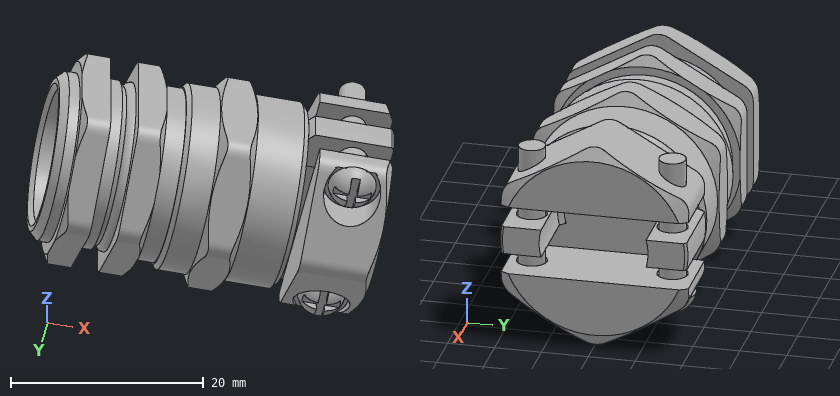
import cadquery as cq
import math


across_flats = 20.0
corner_radius = 2.0
hex_cone_angle = 30
nut_face_radius = 10.17
body_face_radius = 10.1
dome_face_radius = 9.85

overall_length = 35.2
thread_radius = 8.95
thread_lead_in = 0.85
groove_depth = 0.55
shoulder_radius = 1.0
body_hex_start = 7.95
body_hex_end = 11.0
neck_radius = 18.4 / 2
neck_end = 13.2
dome_radius = 19.7 / 2
dome_lead_in = 0.5
dome_hex_start = 16.72
dome_hex_end = 20.75
dome_end = 26.22
dome_end_chamfer = 0.55

bore_radius = 14.0 / 2
bore_chamfer = 0.53
bore_depth = 6.5

nut_start = 1.97
nut_end = 5.05

lug_thickness = 3.05
lug_outer_radius = across_flats / 2
lug_inner_radius = 5.8
lug_root_outer_radius = 9.33
lug_root_inner_radius = 10.5 / 2
lug_root_length = 0.55
lug_end_chamfer = 0.28

jaw_start = 27.25
jaw_gap = 7.55
screw_x = (jaw_start + overall_length) / 2
screw_spacing = 15.0
screw_radius = 2.85 / 2
clearance_radius = 3.2 / 2
screw_top = 9.3
head_radius = 5.0 / 2
head_height = 2.2
head_seat_z = -5.77
counterbore_radius = 2.95
drive_slot_width = 0.88
drive_slot_depth = 1.0

oversize = 2 * overall_length


def revolve_profile(points):
    """Turn a closed outline of (x, radius) points about the X axis."""
    return cq.Workplane("XY").polyline(points).close().revolve(360, (0, 0), (1, 0))


def hexagon(start, end, start_face_radius=None, end_face_radius=None):
    """Hexagonal prism with rounded corners, its ends turned conical where a face radius is given."""
    corner_distance = across_flats / math.sqrt(3)
    prism = (
        cq.Workplane("YZ", origin=(start, 0, 0))
        .transformed(rotate=(0, 0, 90))
        .polygon(6, 2 * corner_distance)
        .extrude(end - start)
        .edges("|X")
        .fillet(corner_radius)
    )

    def cone_length(face_radius):
        if face_radius is None:
            return 0
        return (corner_distance - face_radius) * math.tan(math.radians(hex_cone_angle))

    envelope = [(start, 0), (start, start_face_radius or corner_distance)]
    if start_face_radius:
        envelope.append((start + cone_length(start_face_radius), corner_distance))
    if end_face_radius:
        envelope.append((end - cone_length(end_face_radius), corner_distance))
    envelope += [(end, end_face_radius or corner_distance), (end, 0)]
    return prism.intersect(revolve_profile(envelope))


def turned_body():
    """Thread, sealing groove with its rounded shoulder, neck and dome in one turned outline."""
    groove_radius = thread_radius - groove_depth
    shoulder_angle = math.acos(1 - groove_depth / shoulder_radius)
    groove_x = body_hex_start - shoulder_radius * math.sin(shoulder_angle)
    shoulder_middle = (
        body_hex_start - shoulder_radius * math.sin(shoulder_angle / 2),
        thread_radius - shoulder_radius * (1 - math.cos(shoulder_angle / 2)),
    )
    return (
        cq.Workplane("XY")
        .moveTo(0, 0)
        .lineTo(0, thread_radius - thread_lead_in)
        .lineTo(thread_lead_in, thread_radius)
        .lineTo(groove_x - groove_depth, thread_radius)
        .lineTo(groove_x, groove_radius)
        .threePointArc(shoulder_middle, (body_hex_start, thread_radius))
        .lineTo(body_hex_end, thread_radius)
        .lineTo(body_hex_end, neck_radius)
        .lineTo(neck_end, neck_radius)
        .lineTo(neck_end, dome_radius - dome_lead_in)
        .lineTo(neck_end + dome_lead_in, dome_radius)
        .lineTo(dome_end - dome_end_chamfer, dome_radius)
        .lineTo(dome_end, dome_radius - dome_end_chamfer)
        .lineTo(dome_end, 0)
        .close()
        .revolve(360, (0, 0), (1, 0))
    )


def entry_bore():
    return revolve_profile([
        (0, 0),
        (0, bore_radius + bore_chamfer),
        (bore_chamfer, bore_radius),
        (bore_depth, bore_radius),
        (bore_depth, 0),
    ])


def cylinders_at_screws(radius, bottom_z, top_z):
    """A vertical cylinder on each screw axis."""
    return (
        cq.Workplane("XY", origin=(screw_x, 0, bottom_z))
        .rarray(0.35, screw_spacing, 1, 2)
        .circle(radius)
        .extrude(top_z - bottom_z)
    )


def clamp_lugs():
    """Two lugs left by slicing a ring, each with a clearance hole for its screw."""
    root_end = dome_end + lug_root_length
    ring = revolve_profile([
        (dome_end, lug_root_inner_radius),
        (dome_end, lug_root_outer_radius),
        (root_end, lug_outer_radius),
        (overall_length - lug_end_chamfer, lug_outer_radius),
        (overall_length, lug_outer_radius - lug_end_chamfer),
        (overall_length, lug_inner_radius),
        (root_end, lug_inner_radius),
    ])
    lugs = ring.intersect(cq.Workplane("XY").box(oversize, oversize, lug_thickness))
    return lugs.cut(cylinders_at_screws(clearance_radius, -lug_thickness, lug_thickness))


def clamp_jaws():
    """Upper and lower parts of a hexagon, the lower one counterbored and drilled for the screws."""
    jaws = hexagon(jaw_start, overall_length, end_face_radius=dome_face_radius)
    jaws = jaws.cut(cq.Workplane("XY").box(oversize, oversize, jaw_gap))
    jaws = jaws.cut(cylinders_at_screws(counterbore_radius, -across_flats, head_seat_z))
    return jaws.cut(cylinders_at_screws(clearance_radius, head_seat_z, 0))


def screw(y):
    """Vertical screw with a domed, cross-slotted head underneath."""
    dome_sphere_radius = (head_radius**2 + head_height**2) / (2 * head_height)
    head_bottom_z = head_seat_z - head_height
    shank = (
        cq.Workplane("XY", origin=(screw_x, y, head_seat_z))
        .circle(screw_radius)
        .extrude(screw_top - head_seat_z)
    )
    head = (
        cq.Workplane("XY", origin=(screw_x, y, head_seat_z))
        .circle(head_radius)
        .extrude(-head_height)
        .intersect(
            cq.Workplane("XY", origin=(screw_x, y, head_bottom_z + dome_sphere_radius))
            .sphere(dome_sphere_radius)
        )
    )
    slot_plane = cq.Workplane("XY", origin=(screw_x, y, head_bottom_z))
    slot_along_x = slot_plane.rect(oversize, drive_slot_width).extrude(drive_slot_depth)
    slot_along_y = slot_plane.rect(drive_slot_width, oversize).extrude(drive_slot_depth)
    head = head.cut(slot_along_x).cut(slot_along_y)
    return shank.union(head)


def make_gland():
    gland = turned_body()
    gland = gland.union(hexagon(nut_start, nut_end, start_face_radius=nut_face_radius))
    gland = gland.union(hexagon(body_hex_start, body_hex_end, end_face_radius=body_face_radius))
    gland = gland.union(hexagon(dome_hex_start, dome_hex_end, dome_face_radius, dome_face_radius))
    gland = gland.cut(entry_bore())
    return gland.union(clamp_lugs())


def make_clamp():
    clamp = clamp_jaws()
    for side in (-1, 1):
        clamp = clamp.union(screw(side * screw_spacing / 2))
    return clamp


gland = make_gland()
clamp = make_clamp()

result = cq.Compound.makeCompound([gland.solids().val(), clamp.solids().val()])